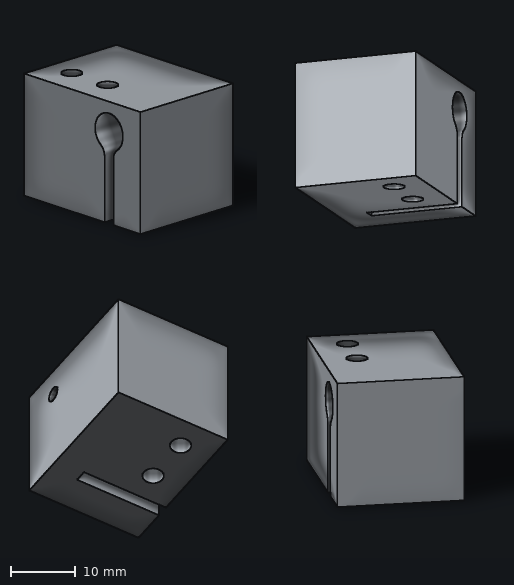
import cadquery as cq
import math

length = 26.0
depth = 20.0
height = 20.0

keyhole_x = 19.0
keyhole_z = 15.0
keyhole_radius = 3.1
slot_width = 2.0
neck_fillet = 2.0
keyhole_depth = 15.0

back_hole_diameter = 2.5

vertical_hole_diameter = 3.3
vertical_hole_xs = (5.0, 13.0)
vertical_hole_y = 5.5


def keyhole():
    """Round head blended into a straight slot by an arc on each side of the neck."""
    half_slot = slot_width / 2
    arc_center_x = half_slot + neck_fillet
    center_distance = keyhole_radius + neck_fillet
    arc_drop = math.sqrt(center_distance**2 - arc_center_x**2)
    touch_ratio = keyhole_radius / center_distance
    touch_x = arc_center_x * touch_ratio
    touch_z = -arc_drop * touch_ratio
    mid_angle = (math.pi + math.atan2(arc_drop, -arc_center_x)) / 2
    mid_x = arc_center_x + neck_fillet * math.cos(mid_angle)
    mid_z = -arc_drop + neck_fillet * math.sin(mid_angle)
    return (
        cq.Workplane("XZ")
        .center(keyhole_x, keyhole_z)
        .moveTo(-half_slot, -keyhole_z)
        .lineTo(-half_slot, -arc_drop)
        .threePointArc((-mid_x, mid_z), (-touch_x, touch_z))
        .threePointArc((0, keyhole_radius), (touch_x, touch_z))
        .threePointArc((mid_x, mid_z), (half_slot, -arc_drop))
        .lineTo(half_slot, -keyhole_z)
        .close()
        .extrude(-keyhole_depth)
    )


def back_hole():
    """Hole concentric with the keyhole head, running from the front to the back face."""
    return (
        cq.Workplane("XZ")
        .center(keyhole_x, keyhole_z)
        .circle(back_hole_diameter / 2)
        .extrude(-depth)
    )


def vertical_holes():
    """Pair of holes running from the bottom to the top face."""
    return (
        cq.Workplane("XY")
        .pushPoints([(x, vertical_hole_y) for x in vertical_hole_xs])
        .circle(vertical_hole_diameter / 2)
        .extrude(height)
    )


block = cq.Workplane("XY").box(length, depth, height, centered=False)
result = block.cut(keyhole()).cut(back_hole()).cut(vertical_holes())